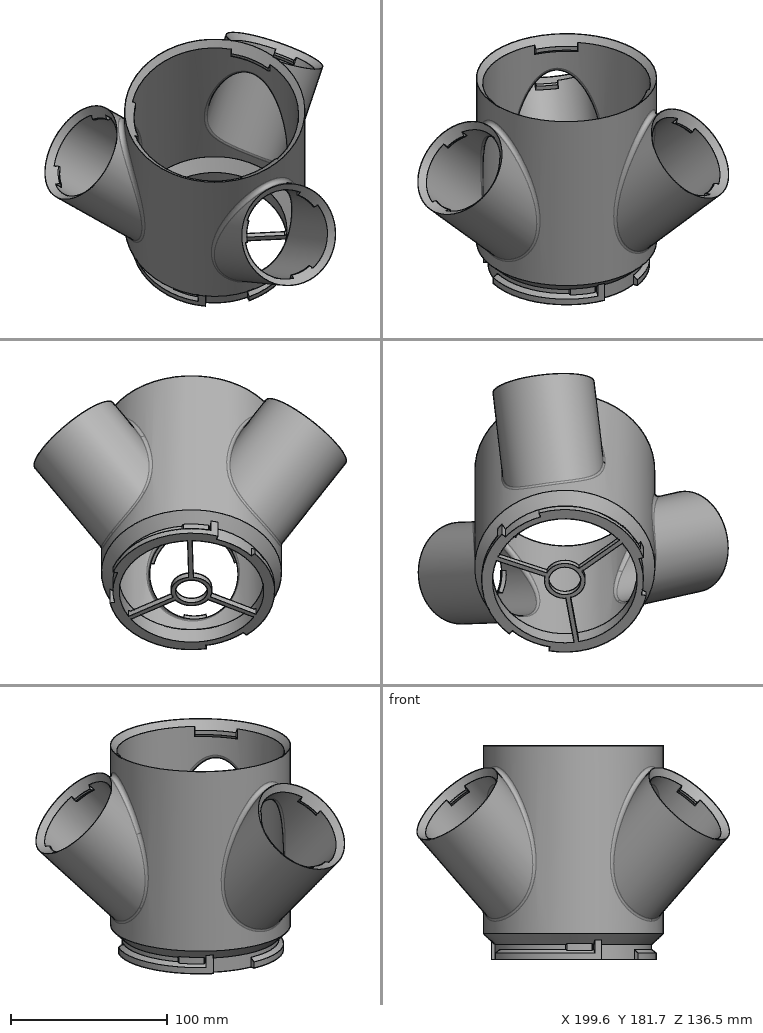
import cadquery as cq
import math

height = 136.5
body_radius = 57.5
wall = 4.0
bore_radius = body_radius - wall

neck_radius = 50.0
neck_bore_radius = neck_radius - wall
neck_height = 9.5
cone_top = 16.5
cone_angle = math.atan2(body_radius - neck_radius, cone_top - neck_height)
inner_cone_rise = wall * math.tan(cone_angle / 2)

branch_radius = 32.5
branch_bore_radius = branch_radius - wall
branch_origin_height = 14.0
branch_length = 121.0
branch_inner_start = 40.0
branch_tilt = 45
branch_angles = (90, 210, 330)
branch_fillet = 2.4

tab_depth = 2.0
tab_sweep = 30
tab_count = 3
main_tab_face_height = 2.8
main_tab_angle = 90
branch_tab_face_height = 1.4
branch_tab_angle = 0

ring_radius = 53.0
ring_edge_height = 4.2
ring_top = 6.5
stop_sweep = 5
ring_sweep = 84
ring_start_angles = (-39, 81, 201)
bump_radius = 50.9
bump_bottom = 4.0
bump_sweep = 18
bump_ramp_sweep = 1
bump_gap_sweep = 0.5

hub_radius = 13.0
hub_bore_radius = 10.2
spoke_width = 3.0
spoke_height = 4.0
spoke_end_rise = 1.4
spoke_angles = (30, 150, 270)

overlap = 1.0


def revolve_section(points, start_angle=0, sweep=360):
    """Revolve an (r, z) section about Z, counterclockwise from start_angle."""
    section = cq.Workplane("XZ").polyline(points).close()
    solid = section.revolve(sweep, (0, 0, 0), (0, 1, 0))
    return solid.rotate((0, 0, 0), (0, 0, 1), start_angle)


def place_branch(solid, angle):
    """Move a solid built along Z onto the axis of the branch at this angle."""
    tilted = solid.rotate((0, 0, 0), (0, 1, 0), branch_tilt)
    raised = tilted.translate((0, 0, branch_origin_height))
    return raised.rotate((0, 0, 0), (0, 0, 1), angle)


def cylinder(radius, bottom, top):
    return cq.Workplane("XY").workplane(offset=bottom).circle(radius).extrude(top - bottom)


def rim_cutter(outer_radius, inner_radius, top):
    """Cone that bevels a rim at 45 degrees down from its sharp outer edge."""
    depth = outer_radius - inner_radius
    return revolve_section([(0, top), (outer_radius, top), (inner_radius, top - depth), (0, top - depth)])


def rim_tab(bore, top, face_height, middle_angle):
    """Tab on the bore wall, its underside falling at 45 degrees from tip to wall.

    It is left as tall as the rim, because the bevel of the rim trims it later.
    """
    tip = bore - tab_depth
    root = bore + overlap
    tip_bottom = top - wall - tab_depth - face_height
    root_bottom = tip_bottom - (root - tip)
    points = [(tip, tip_bottom), (root, root_bottom), (root, top), (tip, top)]
    return revolve_section(points, middle_angle - tab_sweep / 2, tab_sweep)


def join_branches(body, radius, seam_fillet):
    """Add three branch cylinders to a revolved body and round the seams."""
    for angle in branch_angles:
        branch = cylinder(radius, branch_inner_start, branch_length)
        body = body.union(place_branch(branch, angle))
    return body.edges("not(%CIRCLE or %LINE)").fillet(seam_fillet)


def make_outside():
    body = revolve_section([
        (0, 0),
        (neck_radius, 0),
        (neck_radius, neck_height),
        (body_radius, cone_top),
        (body_radius, height),
        (0, height),
    ])
    return join_branches(body, branch_radius, branch_fillet)


def make_cavity():
    body = revolve_section([
        (0, 0),
        (neck_bore_radius, 0),
        (neck_bore_radius, neck_height + inner_cone_rise),
        (bore_radius, cone_top + inner_cone_rise),
        (bore_radius, height),
        (0, height),
    ])
    return join_branches(body, branch_bore_radius, branch_fillet)


def finish_rim(part, radius, top, face_height, first_tab_angle, branch_angle=None):
    """Add the tabs inside a rim, then bevel the rim and the tabs together.

    Without a branch_angle the rim is that of the main tube.
    """
    def place(solid):
        return solid if branch_angle is None else place_branch(solid, branch_angle)

    bore = radius - wall
    for index in range(tab_count):
        tab_angle = first_tab_angle + index * 360 / tab_count
        part = part.union(place(rim_tab(bore, top, face_height, tab_angle)))
    return part.cut(place(rim_cutter(radius, bore - tab_depth, top)))


def finish_rims(part):
    part = finish_rim(part, body_radius, height, main_tab_face_height, main_tab_angle)
    for angle in branch_angles:
        part = finish_rim(
            part, branch_radius, branch_length, branch_tab_face_height, branch_tab_angle, angle
        )
    return part


def polar(radius, angle):
    return (radius * math.cos(math.radians(angle)), radius * math.sin(math.radians(angle)))


def cone_height_at(radius):
    """Height of the outer cone at a given radius."""
    slope = (cone_top - neck_height) / (body_radius - neck_radius)
    return neck_height + slope * (radius - neck_radius)


def make_bump(end_angle):
    """Low snap bump with ramped ends, finishing at end_angle on the neck."""
    root = neck_radius - overlap
    start_angle = end_angle - bump_sweep - 2 * bump_ramp_sweep
    middle_angle = (start_angle + end_angle) / 2
    outline = (
        cq.Workplane("XY")
        .workplane(offset=bump_bottom)
        .moveTo(*polar(root, start_angle))
        .lineTo(*polar(neck_radius, start_angle))
        .lineTo(*polar(bump_radius, start_angle + bump_ramp_sweep))
        .threePointArc(polar(bump_radius, middle_angle), polar(bump_radius, end_angle - bump_ramp_sweep))
        .lineTo(*polar(neck_radius, end_angle))
        .lineTo(*polar(root, end_angle))
        .threePointArc(polar(root, middle_angle), polar(root, start_angle))
        .close()
    )
    return outline.extrude(cone_height_at(bump_radius) - bump_bottom)


def add_bayonet(part):
    root = neck_radius - overlap
    ring_section = [
        (root, 0),
        (ring_radius, 0),
        (ring_radius, ring_edge_height),
        (neck_radius, ring_top),
        (root, ring_top),
    ]
    stop_section = [
        (root, 0),
        (ring_radius, 0),
        (ring_radius, cone_height_at(ring_radius)),
        (root, cone_height_at(root)),
    ]
    for start in ring_start_angles:
        stop_start = start + ring_sweep
        part = part.union(revolve_section(ring_section, start, ring_sweep))
        part = part.union(revolve_section(stop_section, stop_start, stop_sweep))
        part = part.union(make_bump(stop_start - bump_gap_sweep))
    return part


def add_spider(part):
    hub = cylinder(hub_radius, 0, spoke_height)
    hub_bore = cylinder(hub_bore_radius, 0, spoke_height)
    spoke = (
        cq.Workplane("XZ")
        .moveTo(0, 0)
        .lineTo(neck_bore_radius + overlap, 0)
        .lineTo(neck_bore_radius + overlap, spoke_height + spoke_end_rise)
        .lineTo(neck_bore_radius, spoke_height + spoke_end_rise)
        .lineTo(neck_bore_radius - spoke_end_rise, spoke_height)
        .lineTo(0, spoke_height)
        .close()
        .extrude(spoke_width / 2, both=True)
    )
    spider = hub
    for angle in spoke_angles:
        spider = spider.union(spoke.rotate((0, 0, 0), (0, 0, 1), angle))
    return part.union(spider.cut(hub_bore))


tubes = make_outside().cut(make_cavity())
result = add_spider(add_bayonet(finish_rims(tubes)))